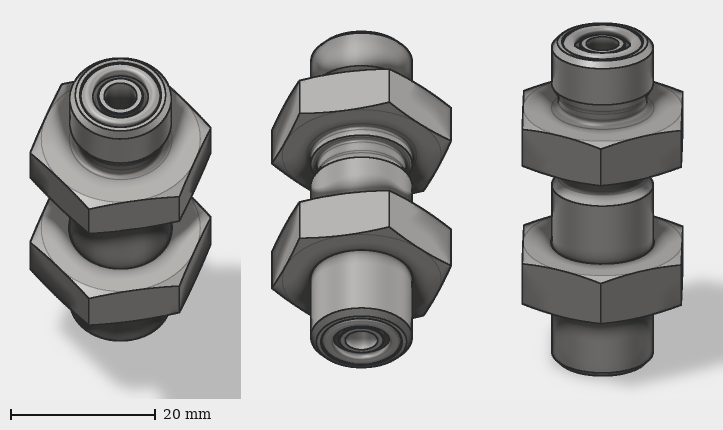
import cadquery as cq
import math

TOTAL_HEIGHT = 48.8
SEAL_STANDOUT = 0.4
BODY_BOTTOM = SEAL_STANDOUT
BODY_TOP = TOTAL_HEIGHT - SEAL_STANDOUT

HEX_ACROSS_FLATS = 22.0
HEX_CORNER_RADIUS = HEX_ACROSS_FLATS / 2 / math.cos(math.radians(30))
HEX_CHAMFER_ANGLE = 15.0
BODY_HEX_TOP = 38.4
BODY_HEX_THICKNESS = 6.5
BODY_HEX_BOTTOM = BODY_HEX_TOP - BODY_HEX_THICKNESS
NUT_TOP = 17.9
NUT_THICKNESS = 7.05
NUT_BOTTOM = NUT_TOP - NUT_THICKNESS
NUT_BORE_CHAMFER = 0.12

THREAD_RADIUS = 14.05 / 2
NECK_RADIUS = 12.25 / 2
BORE_RADIUS = 4.5 / 2
END_CHAMFER_WIDTH = 0.8
END_CHAMFER_HEIGHT = 0.85
UPPER_THREAD_BOTTOM = 42.1
SHOULDER_BOTTOM = 30.35
LOWER_THREAD_TOP = 26.65
RUNOUT_ANGLE = 30.0
RUNOUT_HEIGHT = (THREAD_RADIUS - NECK_RADIUS) / math.tan(math.radians(RUNOUT_ANGLE))
NECK_FILLET = 1.0
SHOULDER_FILLET = 0.6
UNDERCUT_FILLET = 0.5

SEAL_SECTION_RADIUS = 1.65 / 2
SEAL_OUTER_RADIUS = 11.0 / 2
SEAL_CENTRE_RADIUS = SEAL_OUTER_RADIUS - SEAL_SECTION_RADIUS
GROOVE_DEPTH = 2 * SEAL_SECTION_RADIUS - SEAL_STANDOUT
GROOVE_FILLET = 0.35
GROOVE_EDGE_CHAMFER = 0.15
SPIGOT_RADIUS = 6.3 / 2
SPIGOT_RECESS = 0.25

MATCH_TOLERANCE = 0.005


def revolve_outline(points):
    """Revolve a closed outline of (radius, height) points about the Z axis."""
    return cq.Workplane("XZ").polyline(points).close().revolve(360, (0, 0), (0, 1))


def make_hexagon(bottom, top):
    """Hexagonal prism with corners on +Y and -Y and both ends chamfered."""
    prism = (
        cq.Workplane("XY", origin=(0, 0, bottom))
        .polygon(6, 2 * HEX_CORNER_RADIUS)
        .extrude(top - bottom)
        .rotate((0, 0, 0), (0, 0, 1), 90)
    )
    face_radius = HEX_ACROSS_FLATS / 2
    chamfer_drop = (HEX_CORNER_RADIUS - face_radius) * math.tan(math.radians(HEX_CHAMFER_ANGLE))
    envelope = revolve_outline([
        (0, bottom),
        (face_radius, bottom),
        (HEX_CORNER_RADIUS, bottom + chamfer_drop),
        (HEX_CORNER_RADIUS, top - chamfer_drop),
        (face_radius, top),
        (0, top),
    ])
    return prism.intersect(envelope)


def make_stem():
    """Turned stem with sharp corners, running from end face to end face."""
    end_radius = THREAD_RADIUS - END_CHAMFER_WIDTH
    return revolve_outline([
        (0, BODY_BOTTOM),
        (end_radius, BODY_BOTTOM),
        (THREAD_RADIUS, BODY_BOTTOM + END_CHAMFER_HEIGHT),
        (THREAD_RADIUS, LOWER_THREAD_TOP),
        (NECK_RADIUS, LOWER_THREAD_TOP + RUNOUT_HEIGHT),
        (NECK_RADIUS, SHOULDER_BOTTOM),
        (THREAD_RADIUS, SHOULDER_BOTTOM),
        (THREAD_RADIUS, BODY_HEX_BOTTOM),
        (NECK_RADIUS, BODY_HEX_TOP),
        (NECK_RADIUS, UPPER_THREAD_BOTTOM - RUNOUT_HEIGHT),
        (THREAD_RADIUS, UPPER_THREAD_BOTTOM),
        (THREAD_RADIUS, BODY_TOP - END_CHAMFER_HEIGHT),
        (end_radius, BODY_TOP),
        (0, BODY_TOP),
    ])


def fillet_circle(body, radius, height, fillet):
    """Round the circular edge of the given radius at the given height."""
    edges = [
        edge
        for edge in body.edges("%CIRCLE").vals()
        if abs(edge.radius() - radius) < MATCH_TOLERANCE
        and abs(edge.Center().z - height) < MATCH_TOLERANCE
    ]
    return body.newObject(edges).fillet(fillet)


def make_groove_cutter(end_face, inward):
    """Space removed at one end: the O-ring groove and the recess over the spigot."""
    floor = end_face + inward * GROOVE_DEPTH
    spigot_face = end_face + inward * SPIGOT_RECESS
    chamfer_drop = inward * GROOVE_EDGE_CHAMFER
    cutter = revolve_outline([
        (0, end_face),
        (SEAL_OUTER_RADIUS + GROOVE_EDGE_CHAMFER, end_face),
        (SEAL_OUTER_RADIUS, end_face + chamfer_drop),
        (SEAL_OUTER_RADIUS, floor),
        (SPIGOT_RADIUS, floor),
        (SPIGOT_RADIUS, spigot_face + chamfer_drop),
        (SPIGOT_RADIUS - GROOVE_EDGE_CHAMFER, spigot_face),
        (0, spigot_face),
    ])
    for wall_radius in (SPIGOT_RADIUS, SEAL_OUTER_RADIUS):
        cutter = fillet_circle(cutter, wall_radius, floor, GROOVE_FILLET)
    return cutter


def make_fitting_body():
    body = make_stem().union(make_hexagon(BODY_HEX_BOTTOM, BODY_HEX_TOP))
    for radius, height, fillet in (
        (NECK_RADIUS, UPPER_THREAD_BOTTOM - RUNOUT_HEIGHT, NECK_FILLET),
        (NECK_RADIUS, BODY_HEX_TOP, NECK_FILLET),
        (THREAD_RADIUS, BODY_HEX_BOTTOM, SHOULDER_FILLET),
        (NECK_RADIUS, SHOULDER_BOTTOM, UNDERCUT_FILLET),
        (NECK_RADIUS, LOWER_THREAD_TOP + RUNOUT_HEIGHT, NECK_FILLET),
    ):
        body = fillet_circle(body, radius, height, fillet)
    bore = cq.Workplane("XY").circle(BORE_RADIUS).extrude(TOTAL_HEIGHT)
    body = body.cut(bore)
    for end_face, inward in ((BODY_BOTTOM, 1), (BODY_TOP, -1)):
        body = body.cut(make_groove_cutter(end_face, inward))
    return body


def make_lock_nut():
    """Hexagon nut whose bore fits the stem, with a small chamfer at each mouth."""
    mouth_radius = THREAD_RADIUS + NUT_BORE_CHAMFER
    bore = revolve_outline([
        (0, NUT_BOTTOM),
        (mouth_radius, NUT_BOTTOM),
        (THREAD_RADIUS, NUT_BOTTOM + NUT_BORE_CHAMFER),
        (THREAD_RADIUS, NUT_TOP - NUT_BORE_CHAMFER),
        (mouth_radius, NUT_TOP),
        (0, NUT_TOP),
    ])
    return make_hexagon(NUT_BOTTOM, NUT_TOP).cut(bore)


def make_seal(centre_height):
    """O-ring lying flat around the Z axis."""
    return (
        cq.Workplane("XZ")
        .center(SEAL_CENTRE_RADIUS, centre_height)
        .circle(SEAL_SECTION_RADIUS)
        .revolve(360, (-SEAL_CENTRE_RADIUS, 0), (-SEAL_CENTRE_RADIUS, 1))
    )


fitting_body = make_fitting_body()
lock_nut = make_lock_nut()
seals = [
    make_seal(centre_height)
    for centre_height in (SEAL_SECTION_RADIUS, TOTAL_HEIGHT - SEAL_SECTION_RADIUS)
]

result = cq.Compound.makeCompound([
    fitting_body.val(),
    lock_nut.val(),
    *[seal.val() for seal in seals],
])